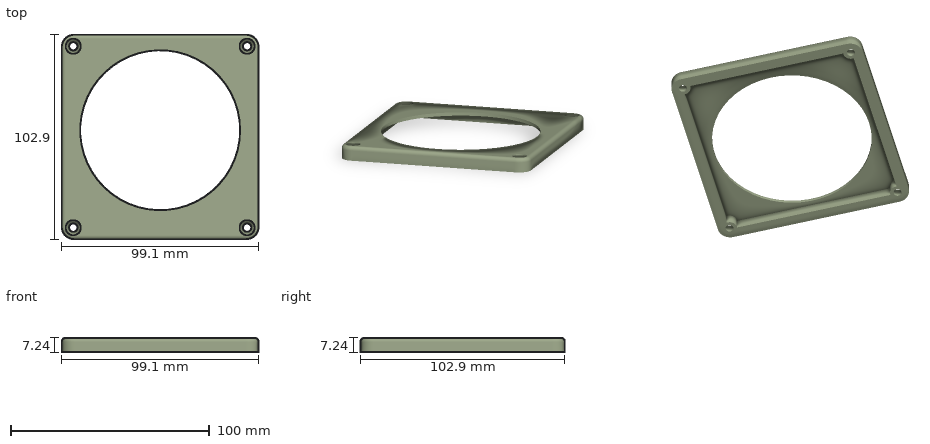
import cadquery as cq

length_x = 99.06
width_y = 102.87
height = 7.24
corner_radius = 6.35
top_edge_radius = 2.03

wall_thickness = 5.33
top_thickness = 1.7

window_diameter = 80.26
window_center_y = 3.385

screw_hole_diameter = 4.06
countersink_diameter = 7.62
countersink_lip = 0.76
cone_depth = (countersink_diameter - screw_hole_diameter) / 2
screw_inset = 5.84
boss_diameter = countersink_diameter

screw_centers = [
    (side_x * (length_x / 2 - screw_inset), side_y * (width_y / 2 - screw_inset))
    for side_x in (-1, 1)
    for side_y in (-1, 1)
]


def make_outer_block():
    """Solid cover with rounded corners and a rounded top edge."""
    block = cq.Workplane("XY").box(length_x, width_y, height, centered=(True, True, False))
    block = block.edges("|Z").fillet(corner_radius)
    return block.faces(">Z").edges().fillet(top_edge_radius)


def make_cavity():
    """Rectangular hollow that leaves a round boss standing at each screw."""
    cavity = cq.Workplane("XY").box(
        length_x - 2 * wall_thickness,
        width_y - 2 * wall_thickness,
        height - top_thickness,
        centered=(True, True, False),
    )
    bosses = cq.Workplane("XY").pushPoints(screw_centers).circle(boss_diameter / 2).extrude(height)
    return cavity.cut(bosses)


def make_window():
    """Round opening through the top plate."""
    return cq.Workplane("XY").center(0, window_center_y).circle(window_diameter / 2).extrude(height)


def make_screw_hole(center):
    """Through hole with a conical head seat below a short straight lip."""
    hole_radius = screw_hole_diameter / 2
    head_radius = countersink_diameter / 2
    lip_bottom = height - countersink_lip
    profile = (
        cq.Workplane("XZ")
        .moveTo(0, 0)
        .lineTo(hole_radius, 0)
        .lineTo(hole_radius, lip_bottom - cone_depth)
        .lineTo(head_radius, lip_bottom)
        .lineTo(head_radius, height)
        .lineTo(0, height)
        .close()
    )
    return profile.revolve(360, (0, 0, 0), (0, 1, 0)).translate((*center, 0))


result = make_outer_block().cut(make_cavity()).cut(make_window())
for screw_center in screw_centers:
    result = result.cut(make_screw_hole(screw_center))